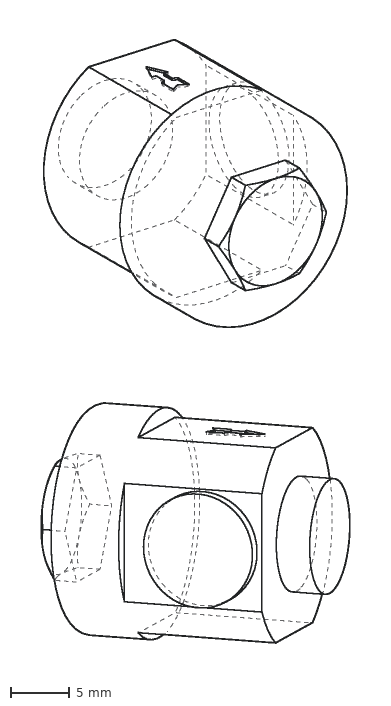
import cadquery as cq
import math

total_length = 24.58

port_radius = 5.0
body_start = 3.05

flange_radius = 10.0
flange_start = 15.63
flange_end = 22.12
flange_fillet = 1.0

flat_distance = 8.55
body_back_reach = 8.8
back_round_offset = flange_radius - body_back_reach

boss_x = 8.48
boss_reach = 9.68

hex_across_flats = 10.0
hex_corner_radius = hex_across_flats / math.sqrt(3)
hex_chamfer_angle = 30.0

arrow_tip_x = 5.97
arrow_head_length = 1.97
arrow_shaft_length = 1.23
arrow_taper_length = 0.2
arrow_tail_length = 1.65
arrow_notch_depth = 0.52
arrow_half_width = 0.85
arrow_shaft_half_width = 0.42
arrow_depth = 0.2


def x_cylinder(radius, start, end, center_y=0.0):
    """Solid cylinder along X between two stations."""
    return cq.Workplane("YZ", origin=(start, center_y, 0)).circle(radius).extrude(end - start)


def make_body():
    """Block bounded by the two flats in Z, the +Y flat and both rounds."""
    front_round = x_cylinder(flange_radius, body_start, flange_start)
    back_round = x_cylinder(flange_radius, body_start, flange_start, back_round_offset)
    block = cq.Workplane("XY").box(
        flange_start - body_start,
        flat_distance + flange_radius,
        2 * flat_distance,
        centered=(False, False, True),
    )
    block = block.translate((body_start, -flange_radius, 0))
    return front_round.intersect(back_round).intersect(block)


def make_flange():
    """Disc with its outer edge on the +X side rounded."""
    disc = x_cylinder(flange_radius, flange_start, flange_end)
    return disc.faces(">X").edges().fillet(flange_fillet)


def make_boss():
    """Short round boss rising from the main axis through the +Y flat."""
    return (
        cq.Workplane("XZ", origin=(boss_x, 0, 0))
        .circle(port_radius)
        .extrude(-boss_reach)
    )


def make_hex_head():
    """Hexagonal prism whose corners are cut by a cone at the +X end."""
    prism = (
        cq.Workplane("YZ", origin=(flange_end, 0, 0))
        .polygon(6, 2 * hex_corner_radius)
        .extrude(total_length - flange_end)
    )
    end_radius = hex_across_flats / 2
    cone_run = (total_length - flange_end) / math.tan(math.radians(hex_chamfer_angle))
    cone = (
        cq.Workplane("XY")
        .moveTo(flange_end, 0)
        .lineTo(flange_end, end_radius + cone_run)
        .lineTo(total_length, end_radius)
        .lineTo(total_length, 0)
        .close()
        .revolve(360, (0, 0, 0), (1, 0, 0))
    )
    return prism.intersect(cone)


def make_arrow():
    """Arrow-shaped cutter reaching down from the top flat."""
    head_x = arrow_tip_x + arrow_head_length
    shaft_end_x = head_x + arrow_shaft_length
    tail_start_x = shaft_end_x + arrow_taper_length
    tail_end_x = tail_start_x + arrow_tail_length
    upper_side = [
        (head_x, arrow_half_width),
        (head_x, arrow_shaft_half_width),
        (shaft_end_x, arrow_shaft_half_width),
        (tail_start_x, arrow_half_width),
        (tail_end_x, arrow_half_width),
    ]
    lower_side = [(x, -y) for x, y in reversed(upper_side)]
    tip = (arrow_tip_x, 0)
    notch = (tail_end_x - arrow_notch_depth, 0)
    outline = [tip] + upper_side + [notch] + lower_side
    return (
        cq.Workplane("XY", origin=(0, 0, flat_distance))
        .polyline(outline)
        .close()
        .extrude(-arrow_depth)
    )


stub = x_cylinder(port_radius, 0, body_start)
result = (
    make_body()
    .union(make_flange())
    .union(stub)
    .union(make_boss())
    .union(make_hex_head())
    .cut(make_arrow())
)